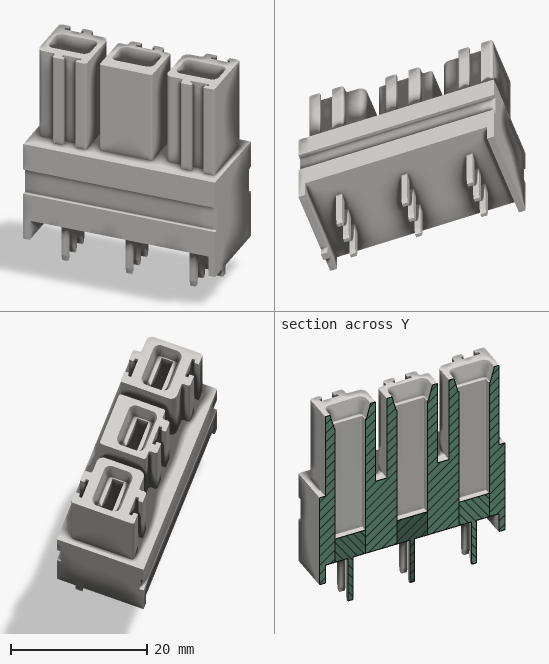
import cadquery as cq
import math

LENGTH = 30.48
DEPTH = 13.6
HEIGHT = 34.6
BLOCK_TOP = 20.25
BLOCK_BOTTOM = 7.68
GROOVE_TOP = 16.0
GROOVE_BOTTOM = 11.97
GROOVE_DEPTH = 0.65

WALL_THICKNESS = 1.05
WALL_BOTTOM = 4.45
PEG_WIDTH = 1.05
PEG_Y = -3.32
PEG_BOTTOM = 3.0

PITCH = 10.17
MIDDLE_WIDTH = 8.37
MIDDLE_FRONT_Y = -4.32
MIDDLE_BACK_Y = 2.9
OUTER_WIDTH = 8.3
OUTER_HALF_DEPTH = 3.67
CORNER_RADIUS = 0.35
SHOULDER_RADIUS = 1.0

TAB_HALF_WIDTH = 2.7
TAB_DEPTH = 1.25
MOUTH_HALF_WIDTH = 0.97
UNDERCUT_HALF_WIDTH = 1.5
UNDERCUT_DEPTH = 0.52
TAB_ROOT_RADIUS = 0.3
LIP_RADIUS = 0.17

MOUTH_LENGTH = 6.6
MOUTH_WIDTH = 4.4
MOUTH_RADIUS = 1.0
MOUTH_INSET = 0.7
MOUTH_HEIGHT = 2.6
SLOT_LENGTH = 4.88
SLOT_WIDTH = 1.75

PIN_THICKNESS = 0.9
PIN_WIDTH = 0.97
PIN_SPACING = 2.8
PIN_TIP_WIDTH = 0.52
PIN_TIP_HEIGHT = 0.97
BASE_TOP = GROOVE_BOTTOM
BASE_DEPTH = 2 * PIN_SPACING + PIN_WIDTH


def box(x_range, y_range, z_range):
    """Box between the given limits on each axis."""
    size = [high - low for low, high in (x_range, y_range, z_range)]
    return cq.Workplane("XY").box(*size, centered=False).translate((x_range[0], y_range[0], z_range[0]))


def centred_box(x, y, x_size, y_size, z_range):
    """Box centred on (x, y) between two heights."""
    return box((x - x_size / 2, x + x_size / 2), (y - y_size / 2, y + y_size / 2), z_range)


def rounded_outline(corners):
    """Closed outline through (x, y, radius) corners, each rounded by a tangent arc unless its radius is 0."""
    outline = None
    for index, (x, y, radius) in enumerate(corners):
        corner = cq.Vector(x, y)
        to_previous = (cq.Vector(*corners[index - 1][:2]) - corner).normalized()
        to_next = (cq.Vector(*corners[(index + 1) % len(corners)][:2]) - corner).normalized()
        start = corner + to_previous * radius
        end = corner + to_next * radius
        bisector = to_previous + to_next
        middle = corner + bisector * radius * (1 - math.sqrt(0.5))
        outline = outline.lineTo(start.x, start.y) if outline else cq.Workplane("XY").moveTo(start.x, start.y)
        if radius > 0:
            outline = outline.threePointArc((middle.x, middle.y), (end.x, end.y))
    return outline.close()


def tabbed_side(half_width, side_y, alignment, shoulder_radius):
    """Corners of the +Y side of a tower, from -X to +X.

    The tab is flush with the -X edge (alignment -1), central (0) or flush with the +X edge (1).
    """
    tab_x = alignment * (half_width - TAB_HALF_WIDTH)
    tab_y = side_y + TAB_DEPTH
    lip_y = side_y + UNDERCUT_DEPTH
    half_groove = [
        (TAB_HALF_WIDTH, tab_y, CORNER_RADIUS),
        (MOUTH_HALF_WIDTH, tab_y, 0),
        (MOUTH_HALF_WIDTH, lip_y, LIP_RADIUS),
        (UNDERCUT_HALF_WIDTH, lip_y, 0),
        (UNDERCUT_HALF_WIDTH, side_y, 0),
    ]
    corners = [(tab_x - x, y, radius) for x, y, radius in half_groove]
    corners += [(tab_x + x, y, radius) for x, y, radius in reversed(half_groove)]
    if alignment > -1:
        shoulder = [(-half_width, side_y, shoulder_radius), (tab_x - TAB_HALF_WIDTH, side_y, TAB_ROOT_RADIUS)]
        corners = shoulder + corners
    if alignment < 1:
        shoulder = [(tab_x + TAB_HALF_WIDTH, side_y, TAB_ROOT_RADIUS), (half_width, side_y, shoulder_radius)]
        corners = corners + shoulder
    return corners


def left_outline():
    """Tabs at the -X end of the back and the +X end of the front: half-turn symmetric."""
    back = tabbed_side(OUTER_WIDTH / 2, OUTER_HALF_DEPTH, -1, SHOULDER_RADIUS)
    front = [(-x, -y, radius) for x, y, radius in back]
    return back + front


def middle_outline():
    """One central tab on the back and a plain front."""
    half_width = MIDDLE_WIDTH / 2
    back = tabbed_side(half_width, MIDDLE_BACK_Y, 0, CORNER_RADIUS)
    front = [(x, MIDDLE_FRONT_Y, CORNER_RADIUS) for x in (half_width, -half_width)]
    return back + front


def right_outline():
    """Tabs at the +X end of both the back and the front: mirror symmetric."""
    back = tabbed_side(OUTER_WIDTH / 2, OUTER_HALF_DEPTH, 1, SHOULDER_RADIUS)
    front = [(x, -y, radius) for x, y, radius in reversed(back)]
    return back + front


TOWER_OUTLINES = {-PITCH: left_outline(), 0: middle_outline(), PITCH: right_outline()}


def make_tower(x, corners):
    """Upright prism on top of the block."""
    tower = rounded_outline(corners).extrude(HEIGHT - BLOCK_TOP)
    return tower.translate((x, 0, BLOCK_TOP))


def make_socket(x):
    """Cavity of one pole: tapered mouth and slot."""
    taper = math.degrees(math.atan2(MOUTH_INSET, MOUTH_HEIGHT))
    mouth_sketch = cq.Sketch().rect(MOUTH_LENGTH, MOUTH_WIDTH).vertices().fillet(MOUTH_RADIUS)
    mouth = cq.Workplane("XY").placeSketch(mouth_sketch).extrude(-MOUTH_HEIGHT, taper=taper)
    slot = centred_box(x, 0, SLOT_LENGTH, SLOT_WIDTH, (BASE_TOP, HEIGHT - MOUTH_HEIGHT))
    return mouth.translate((x, 0, HEIGHT)).union(slot)


def make_contact_base(x):
    """Block that carries the pins; the housing has a recess of the same shape."""
    return centred_box(x, 0, SLOT_LENGTH, BASE_DEPTH, (BLOCK_BOTTOM, BASE_TOP))


def make_block():
    """Block with a full-length groove front and back, end walls and a locating peg."""
    block = centred_box(0, 0, LENGTH, DEPTH, (WALL_BOTTOM, BLOCK_TOP))
    inner_length = LENGTH - 2 * WALL_THICKNESS
    block = block.cut(centred_box(0, 0, inner_length, DEPTH, (WALL_BOTTOM, BLOCK_BOTTOM)))
    for side in (-1, 1):
        groove_y = side * (DEPTH - GROOVE_DEPTH) / 2
        block = block.cut(centred_box(0, groove_y, LENGTH, GROOVE_DEPTH, (GROOVE_BOTTOM, GROOVE_TOP)))
    peg_x = (LENGTH - WALL_THICKNESS) / 2
    return block.union(centred_box(peg_x, PEG_Y, WALL_THICKNESS, PEG_WIDTH, (PEG_BOTTOM, WALL_BOTTOM)))


def make_housing():
    housing = make_block()
    for x, corners in TOWER_OUTLINES.items():
        housing = housing.union(make_tower(x, corners))
        housing = housing.cut(make_socket(x)).cut(make_contact_base(x))
    return housing


def make_pin(x, y):
    """Straight pin whose tip narrows in Y only."""
    half_width = PIN_WIDTH / 2
    half_tip = PIN_TIP_WIDTH / 2
    profile = [
        (y - half_width, BLOCK_BOTTOM),
        (y - half_width, PIN_TIP_HEIGHT),
        (y - half_tip, 0),
        (y + half_tip, 0),
        (y + half_width, PIN_TIP_HEIGHT),
        (y + half_width, BLOCK_BOTTOM),
    ]
    pin = cq.Workplane("YZ").polyline(profile).close().extrude(PIN_THICKNESS / 2, both=True)
    return pin.translate((x, 0, 0))


def make_contact(x):
    contact = make_contact_base(x)
    for row in (-1, 0, 1):
        contact = contact.union(make_pin(x, row * PIN_SPACING))
    return contact


housing = make_housing()
contacts = [make_contact(x) for x in TOWER_OUTLINES]

result = cq.Compound.makeCompound([housing.val(), *[contact.val() for contact in contacts]])